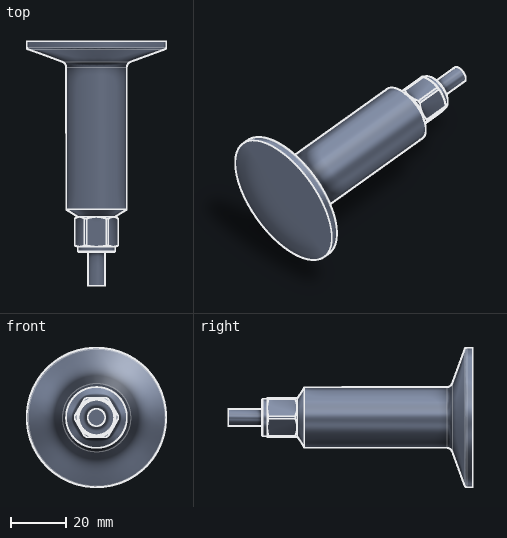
import cadquery as cq
import math

total_length = 88.4

flange_diameter = 50.5
flange_edge_height = 2.8
cone_angle = math.radians(20)
rim_fillet = 0.8
neck_fillet = 2.0

body_diameter = 22.0
taper_start = 60.8
taper_end = 63.5
taper_end_diameter = 13.6

hex_end = 74.3
hex_across_flats = 14.1
hex_corner_diameter = 15.8
hex_chamfer_radial = 0.9
hex_rear_chamfer = 0.7
hex_front_chamfer = 0.4

collar_diameter = 13.6
collar_end = 76.3
collar_chamfer = 0.4
rod_diameter = 6.3


def revolve_profile(points):
    """Revolve a closed (radius, distance from the flange face) outline about Y."""
    outline = [(radius, -distance) for radius, distance in points]
    return cq.Workplane("XY").polyline(outline).close().revolve(360, (0, 0), (0, 1))


def cylinder(diameter, start, end):
    """Cylinder along Y between two distances from the flange face."""
    plane = cq.Workplane("XZ", origin=(0, -start, 0))
    return plane.circle(diameter / 2).extrude(end - start)


def round_edge(solid, distance, radius):
    """Fillet the circular edge at a given distance from the flange face."""
    reach = flange_diameter
    margin = 0.1
    selector = cq.selectors.BoxSelector(
        (-reach, -distance - margin, -reach),
        (reach, -distance + margin, reach),
    )
    return solid.edges(selector).edges("%CIRCLE").fillet(radius)


def make_body():
    flange_radius = flange_diameter / 2
    body_radius = body_diameter / 2
    neck = flange_edge_height + (flange_radius - body_radius) * math.tan(cone_angle)
    body = revolve_profile([
        (0, 0),
        (flange_radius, 0),
        (flange_radius, flange_edge_height),
        (body_radius, neck),
        (body_radius, taper_start),
        (taper_end_diameter / 2, taper_end),
        (0, taper_end),
    ])
    body = round_edge(body, neck, neck_fillet)
    return round_edge(body, flange_edge_height, rim_fillet)


def make_nut():
    across_corners = hex_across_flats / math.cos(math.pi / 6)
    plane = cq.Workplane("XZ", origin=(0, -taper_end, 0))
    prism = plane.polygon(6, across_corners).extrude(hex_end - taper_end)
    corner_radius = hex_corner_diameter / 2
    end_radius = corner_radius - hex_chamfer_radial
    envelope = revolve_profile([
        (0, taper_end),
        (end_radius, taper_end),
        (corner_radius, taper_end + hex_rear_chamfer),
        (corner_radius, hex_end - hex_front_chamfer),
        (end_radius, hex_end),
        (0, hex_end),
    ])
    return prism.intersect(envelope)


collar = cylinder(collar_diameter, hex_end, collar_end).faces("<Y").chamfer(collar_chamfer)
rod = cylinder(rod_diameter, collar_end, total_length)

result = make_body().union(make_nut()).union(collar).union(rod)